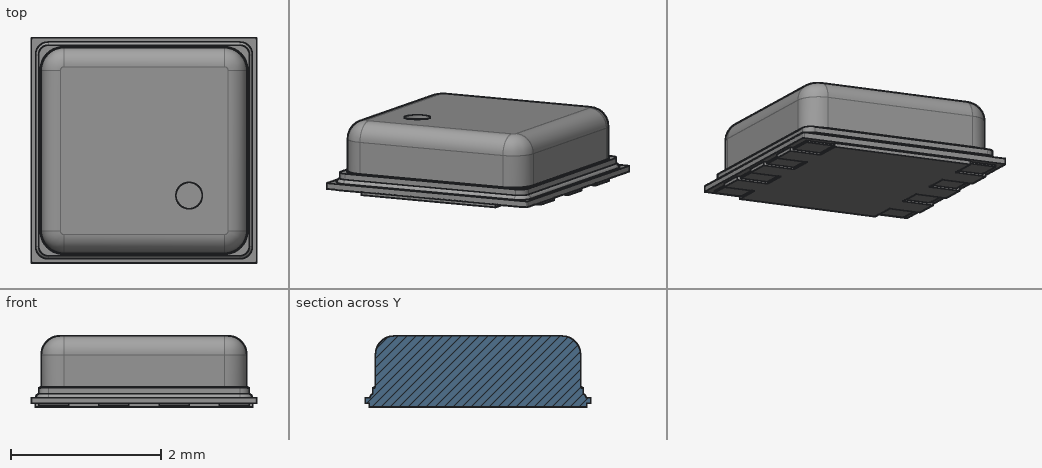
import cadquery as cq
import math

board_side = 3.0
board_thickness = 0.078
board_corner_radius = 0.015

mask_inset = 0.05
mask_thickness = 0.05
mask_side = board_side - 2 * mask_inset
pad_inset = 0.1
pad_side = 0.4
pad_thickness = 0.025
pad_pitch = 0.8
pads_per_row = 4
pad_row_y = board_side / 2 - pad_inset - pad_side / 2

flange_side = board_side - 2 * pad_inset
flange_thickness = 0.078
flange_corner_radius = 0.125
bead_height = 0.05
bead_spread = 0.042
bead_radius = 0.075

total_height = 0.95
lid_side = 2.735
lid_corner_radius = 0.3
lid_top_radius = 0.252
root_step = 0.012

vent_diameter = 0.35
vent_depth = 0.05
vent_x = 0.6
vent_y = -0.6

board_top = mask_thickness + board_thickness
flange_bottom = board_top + bead_height
flange_top = flange_bottom + flange_thickness


def rounded_slab(side, corner_radius, bottom, top):
    """Square slab centred on Z with rounded vertical edges."""
    slab = cq.Workplane("XY", origin=(0, 0, bottom)).rect(side, side).extrude(top - bottom)
    return slab.edges("|Z").fillet(corner_radius)


def make_mask():
    """Mask layer with recesses at two opposite edges, each holding a thin pad."""
    mask = cq.Workplane("XY").rect(mask_side, mask_side).extrude(mask_thickness)
    recess_length = pad_side + pad_inset
    recess_offset = (board_side - recess_length) / 2
    first_pad_offset = (pads_per_row - 1) / 2 * pad_pitch
    pads = cq.Workplane("XY", origin=(0, 0, mask_thickness - pad_thickness))
    for index in range(pads_per_row):
        x = index * pad_pitch - first_pad_offset
        is_corner = index in (0, pads_per_row - 1)
        recess_width = recess_length if is_corner else pad_side
        recess_x = x
        if is_corner:
            recess_x = recess_offset if x > 0 else -recess_offset
        for side in (-1, 1):
            recess = cq.Workplane("XY").center(recess_x, side * recess_offset)
            mask = mask.cut(recess.rect(recess_width, recess_length).extrude(mask_thickness))
            pad = pads.center(x, side * pad_row_y).rect(pad_side, pad_side).extrude(pad_thickness)
            mask = mask.union(pad)
    return mask


def make_bead():
    """Solder bead with a shallow convex arc, swept around the foot of the flange."""
    wall = flange_side / 2
    core = rounded_slab(flange_side, flange_corner_radius, board_top, flange_bottom)
    path = core.faces("<Z").wires()
    chord = math.hypot(bead_spread, bead_height)
    bulge = bead_radius - math.sqrt(bead_radius**2 - (chord / 2) ** 2)
    arc_middle = (
        wall + bead_spread / 2 + bulge * bead_height / chord,
        board_top + bead_height / 2 + bulge * bead_spread / chord,
    )
    section = (
        cq.Workplane("XZ")
        .moveTo(wall, flange_bottom)
        .threePointArc(arc_middle, (wall + bead_spread, board_top))
        .lineTo(wall, board_top)
        .close()
    )
    return core.union(section.sweep(path))


def make_lid():
    """Domed lid on its flange, with a small step around its root."""
    lid = rounded_slab(lid_side, lid_corner_radius, flange_top, total_height)
    flange = rounded_slab(flange_side, flange_corner_radius, flange_bottom, flange_top)
    step = rounded_slab(
        lid_side + 2 * root_step,
        lid_corner_radius + root_step,
        flange_top,
        flange_top + root_step,
    )
    lid = lid.faces(">Z").edges().fillet(lid_top_radius)
    return flange.union(lid).union(step)


def make_vent():
    """Cylinder removed from the lid for the blind vent."""
    vent = cq.Workplane("XY", origin=(vent_x, vent_y, total_height - vent_depth))
    return vent.circle(vent_diameter / 2).extrude(vent_depth)


board = rounded_slab(board_side, board_corner_radius, mask_thickness, board_top)
result = make_mask().union(board).union(make_bead()).union(make_lid()).cut(make_vent())